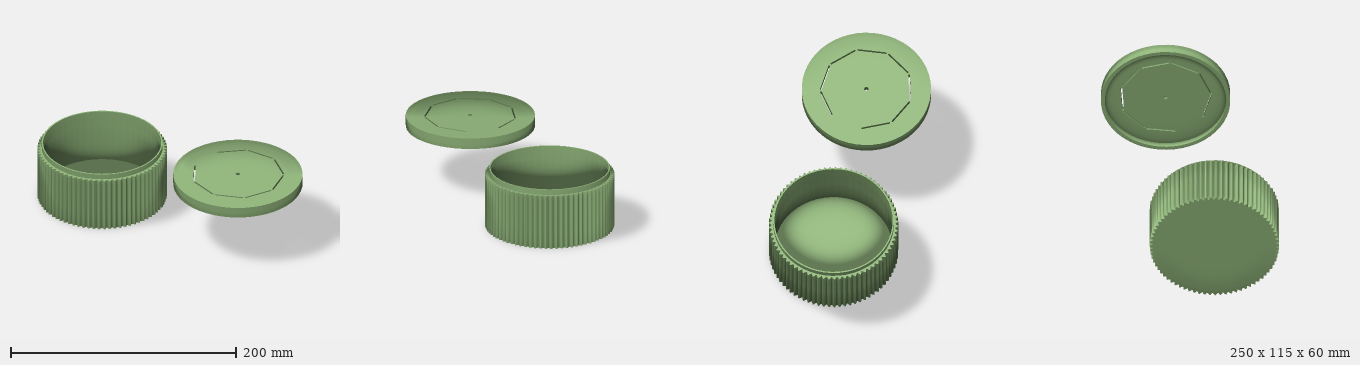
import cadquery as cq
import math

outer_diameter = 115.0
jar_height = 50.0
rim_height = 5.0
rim_diameter = 107.5
bore_diameter = 105.0
floor_thickness = 5.0
knurl_root_diameter = 110.0
knurl_tip_width = 0.7
knurl_root_width = 0.5
knurl_tooth_count = 75
knurl_start_angle = -90.0

lid_thickness = 10.0
lid_gap = 20.0
lid_offset_x = outer_diameter + lid_gap
center_hole_diameter = 4.0
socket_clearance = 0.5
socket_diameter = rim_diameter + socket_clearance
socket_depth = rim_height

slot_polygon_sides = 9
slot_count = slot_polygon_sides - 1
first_slot_angle = -155.0
slot_center_radius = 38.5
slot_length = 26.0
slot_width = 1.5


def polar_point(radius, angle_degrees):
    angle = math.radians(angle_degrees)
    return radius * math.cos(angle), radius * math.sin(angle)


def make_knurl():
    """Solid column with V-shaped teeth around its side, narrowly flat at the tips and roots."""
    pitch_angle = 360.0 / knurl_tooth_count
    tip_half_angle = math.degrees(knurl_tip_width / outer_diameter)
    root_half_angle = math.degrees(knurl_root_width / knurl_root_diameter)
    outline = []
    for tooth in range(knurl_tooth_count):
        tip_angle = knurl_start_angle + tooth * pitch_angle
        root_angle = tip_angle + pitch_angle / 2
        outline.append(polar_point(outer_diameter / 2, tip_angle - tip_half_angle))
        outline.append(polar_point(outer_diameter / 2, tip_angle + tip_half_angle))
        outline.append(polar_point(knurl_root_diameter / 2, root_angle - root_half_angle))
        outline.append(polar_point(knurl_root_diameter / 2, root_angle + root_half_angle))
    return cq.Workplane("XY").polyline(outline).close().extrude(jar_height)


def make_jar():
    total_height = jar_height + rim_height
    rim_column = cq.Workplane("XY").circle(rim_diameter / 2).extrude(total_height)
    bore = (
        cq.Workplane("XY")
        .workplane(offset=floor_thickness)
        .circle(bore_diameter / 2)
        .extrude(total_height - floor_thickness)
    )
    return make_knurl().union(rim_column).cut(bore)


def make_slot_cutters():
    """Through-cutters for the slots, each square to the radius through its middle."""
    cutters = cq.Workplane("XY")
    for slot in range(slot_count):
        angle = first_slot_angle + slot * 360.0 / slot_polygon_sides
        cutter = (
            cq.Workplane("XY")
            .center(slot_center_radius, 0)
            .rect(slot_width, slot_length)
            .extrude(lid_thickness)
            .rotate((0, 0, 0), (0, 0, 1), angle)
        )
        cutters = cutters.add(cutter)
    return cutters.combine()


def make_lid():
    disc = (
        cq.Workplane("XY")
        .circle(outer_diameter / 2)
        .circle(center_hole_diameter / 2)
        .extrude(lid_thickness)
    )
    socket = cq.Workplane("XY").circle(socket_diameter / 2).extrude(socket_depth)
    return disc.cut(socket).cut(make_slot_cutters()).translate((lid_offset_x, 0, jar_height))


jar = make_jar()
lid = make_lid()
result = cq.Compound.makeCompound([jar.val(), lid.val()])